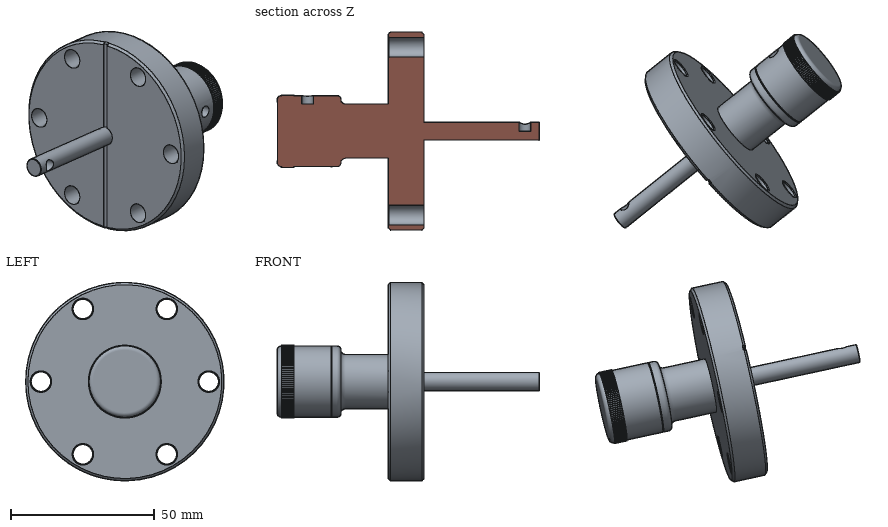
import cadquery as cq
import math

total_length = 91.6

cap_radius = 12.5
cap_end_x = 22.4
cap_front_round = 1.5
cap_back_round = 1.4
seam_x = 19.0
seam_width = 0.4
seam_depth = 0.1

knurl_start_x = cap_front_round
knurl_end_x = 6.0
knurl_radius = 12.7
knurl_tooth_count = 115
knurl_groove_width = 0.21

neck_radius = 9.5
flare_radius = 2.0
flare_height = 0.9

flange_start_x = 38.8
flange_thickness = 12.65
flange_end_x = flange_start_x + flange_thickness
flange_radius = 69.4 / 2
flange_chamfer = 0.8

bolt_count = 6
bolt_circle_radius = 29.3
bolt_hole_radius = 3.4
bolt_chamfer = 0.4

leak_groove_width = 1.65
leak_groove_depth = 0.55
leak_groove_rim_slope = 0.55

rod_radius = 3.2
rod_end_chamfer = 0.2

cross_hole_radius = 2.0
rod_hole_x = 86.6
rod_hole_depth = rod_radius
cap_hole_x = 10.6
cap_hole_depth = cap_radius - neck_radius


def x_cylinder(radius, start_x, end_x):
    return cq.Workplane("YZ", origin=(start_x, 0, 0)).circle(radius).extrude(end_x - start_x)


def make_cap():
    cap = x_cylinder(cap_radius, 0, cap_end_x)
    cap = cap.faces("<X").edges().fillet(cap_front_round)
    cap = cap.faces(">X").edges().fillet(cap_back_round)
    seam_start = seam_x - seam_width / 2
    seam_end = seam_x + seam_width / 2
    seam_bottom = x_cylinder(cap_radius - seam_depth, seam_start, seam_end)
    seam = x_cylinder(cap_radius + seam_depth, seam_start, seam_end).cut(seam_bottom)
    return cap.cut(seam)


def make_knurl():
    """Band with narrow V grooves running along X, one tooth centred on -Y."""
    pitch = 2 * math.pi / knurl_tooth_count
    half_groove = knurl_groove_width / knurl_radius / 2
    points = []
    for i in range(knurl_tooth_count):
        groove_angle = math.pi + (i + 0.5) * pitch
        for radius, angle in (
            (knurl_radius, groove_angle - half_groove),
            (cap_radius, groove_angle),
            (knurl_radius, groove_angle + half_groove),
        ):
            points.append((radius * math.cos(angle), radius * math.sin(angle)))
    band = cq.Workplane("YZ", origin=(knurl_start_x, 0, 0)).polyline(points).close()
    return band.extrude(knurl_end_x - knurl_start_x)


def make_neck():
    """Neck with a concave flare that meets the cap and runs out tangent to the neck."""
    flare_length = math.sqrt(flare_radius**2 - (flare_radius - flare_height) ** 2)
    flare_end_x = cap_end_x + flare_length
    sweep = math.acos((flare_radius - flare_height) / flare_radius)
    arc_middle = (
        flare_end_x - flare_radius * math.sin(sweep / 2),
        neck_radius + flare_radius * (1 - math.cos(sweep / 2)),
    )
    profile = (
        cq.Workplane("XY")
        .moveTo(cap_end_x, 0)
        .lineTo(cap_end_x, neck_radius + flare_height)
        .threePointArc(arc_middle, (flare_end_x, neck_radius))
        .lineTo(flange_start_x, neck_radius)
        .lineTo(flange_start_x, 0)
        .close()
    )
    return profile.revolve(360, (0, 0, 0), (1, 0, 0))


def make_flange():
    flange = x_cylinder(flange_radius, flange_start_x, flange_end_x)
    flange = flange.edges().chamfer(flange_chamfer)
    holes = (
        cq.Workplane("YZ", origin=(flange_start_x, 0, 0))
        .polarArray(bolt_circle_radius, 0, 360, bolt_count)
        .circle(bolt_hole_radius)
        .extrude(flange_thickness)
    )
    flange = flange.cut(holes)
    hole_edges = cq.selectors.RadiusNthSelector(0)
    flange = flange.faces("<X").edges(hole_edges).chamfer(bolt_chamfer)
    for angle in (0, 180):
        flange = flange.cut(make_leak_groove().rotate((0, 0, 0), (1, 0, 0), angle))
    return flange


def make_leak_groove():
    """Cutter for a radial groove along +Z whose floor slopes away at 45 degrees near the rim."""
    floor_x = flange_end_x - leak_groove_depth
    return (
        cq.Workplane("XZ")
        .moveTo(flange_end_x, 0)
        .lineTo(floor_x, 0)
        .lineTo(floor_x, flange_radius - leak_groove_rim_slope)
        .lineTo(floor_x - leak_groove_rim_slope, flange_radius)
        .lineTo(flange_end_x, flange_radius)
        .close()
        .extrude(leak_groove_width / 2, both=True)
    )


def make_rod():
    rod = x_cylinder(rod_radius, flange_start_x, total_length)
    return rod.faces(">X").edges().chamfer(rod_end_chamfer)


def make_cross_hole(x, surface_radius, depth):
    """Cutter for a blind hole entering a round surface from +Y."""
    hole = cq.Workplane("XZ", origin=(x, surface_radius, 0)).circle(cross_hole_radius)
    return hole.extrude(depth)


result = make_cap()
for section in (make_knurl(), make_neck(), make_flange(), make_rod()):
    result = result.union(section)
result = result.cut(make_cross_hole(rod_hole_x, rod_radius, rod_hole_depth))
result = result.cut(make_cross_hole(cap_hole_x, cap_radius, cap_hole_depth))